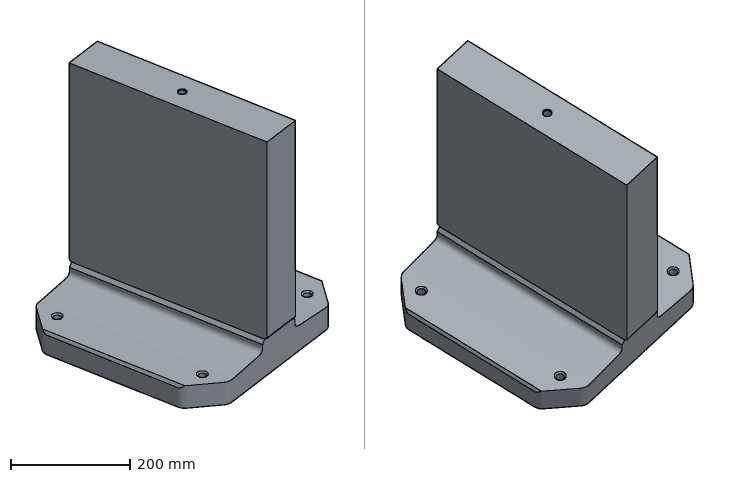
import cadquery as cq
import math

total_height = 475.0
base_size = 400.0
panel_width = 410.0
panel_thickness = 81.0

rim_height = 45.5
flat_edge_y = 130.0
root_height = 52.2
stem_half_thickness = 46.5
shoulder_low = 68.5
shoulder_high = 76.0
root_radius = 10.0
rim_chamfer_depth = 4.0
rim_chamfer_height = 6.0

corner_cut = 56.5
corner_radius = 21.0

panel_bevel_height = 4.0

mount_spacing = 300.0
mount_hole_diameter = 14.2
mount_sink_diameter = 20.0
lift_hole_diameter = 13.5
lift_sink_diameter = 16.0
lift_hole_depth = 38.0
drill_point_angle = 118.0
sink_angle = 90.0


def make_base():
    """Sloped base with stem, trimmed to a square with cut and rounded corners."""
    half = base_size / 2
    right_side = [
        (half, 0),
        (half, rim_height - rim_chamfer_height),
        (half - rim_chamfer_depth, rim_height),
        (flat_edge_y, rim_height),
        (stem_half_thickness, root_height),
        (stem_half_thickness, shoulder_low),
        (panel_thickness / 2, shoulder_high),
    ]
    left_side = [(-y, z) for y, z in reversed(right_side)]
    section = (
        cq.Workplane("YZ")
        .polyline(right_side + left_side)
        .close()
        .extrude(half, both=True)
    )
    for side in (-1, 1):
        root = cq.selectors.NearestToPointSelector((0, side * stem_half_thickness, root_height))
        section = section.edges(root).fillet(root_radius)

    footprint = (
        cq.Workplane("XY")
        .rect(base_size, base_size)
        .extrude(total_height)
        .edges("|Z")
        .chamfer(corner_cut)
        .edges("|Z")
        .fillet(corner_radius)
    )
    return section.intersect(footprint)


def make_panel():
    """Upright panel whose lower ends taper in to the width of the base."""
    outline = [
        (base_size / 2, shoulder_high),
        (panel_width / 2, shoulder_high + panel_bevel_height),
        (panel_width / 2, total_height),
    ]
    mirrored = [(-x, z) for x, z in reversed(outline)]
    return (
        cq.Workplane("XZ")
        .polyline(outline + mirrored)
        .close()
        .extrude(panel_thickness / 2, both=True)
    )


def drilled_hole(diameter, sink_diameter, depth, top_height):
    """Cutter for a countersunk drilled hole on the Z axis with a conical point below its depth."""
    radius = diameter / 2
    sink_radius = sink_diameter / 2
    sink_depth = (sink_radius - radius) / math.tan(math.radians(sink_angle / 2))
    point_depth = radius / math.tan(math.radians(drill_point_angle / 2))
    profile = [
        (0, top_height),
        (sink_radius, top_height),
        (radius, top_height - sink_depth),
        (radius, top_height - depth),
        (0, top_height - depth - point_depth),
    ]
    return cq.Workplane("XZ").polyline(profile).close().revolve(360, (0, 0, 0), (0, 1, 0))


body = make_base().union(make_panel())

mount_hole = drilled_hole(mount_hole_diameter, mount_sink_diameter, rim_height, rim_height)
for x_side in (-1, 1):
    for y_side in (-1, 1):
        hole_center = (x_side * mount_spacing / 2, y_side * mount_spacing / 2, 0)
        body = body.cut(mount_hole.translate(hole_center))

lift_hole = drilled_hole(lift_hole_diameter, lift_sink_diameter, lift_hole_depth, total_height)
result = body.cut(lift_hole)